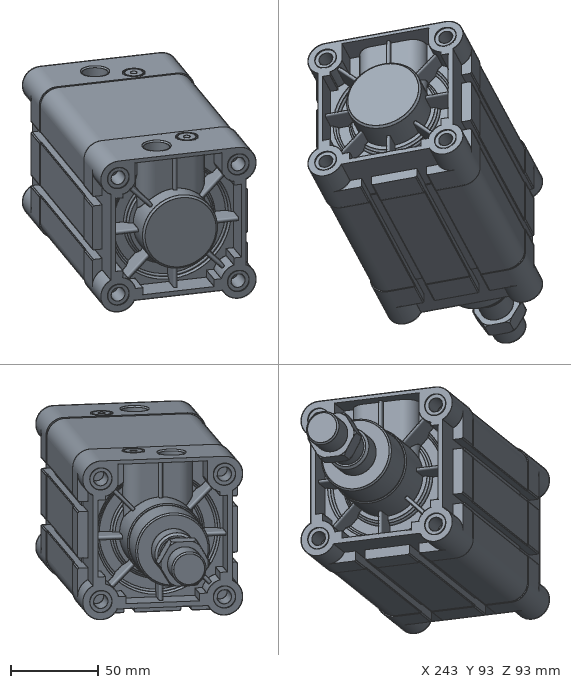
import cadquery as cq
import math

LENGTH = 243.0
HALF_WIDTH = 93.0 / 2
CUT_CLEARANCE = 2.5

THREAD_D = 20.0
ROD_D = 25.0
ROD_SHOULDER_X = 40.0
ROD_CHAMFER = 1.5
THREAD_CHAMFER = 1.0
NUT_X = 14.8
NUT_LENGTH = 10.2
NUT_CORNER_D = 30.0
NUT_CHAMFER = 1.2

NOSE_X = 53.0
BOSS_X = 74.5
FRONT_X = 85.8
CAP_LENGTH = 33.0
REAR_X = 238.9
MID_X = (FRONT_X + REAR_X) / 2
CAP_INNER_X = FRONT_X + CAP_LENGTH
REAR_CAP_INNER_X = REAR_X - CAP_LENGTH
PAD_X = 102.5

NOSE_D = 43.0
BOSS_D = 45.0
NOSE_CHAMFER = 1.0
BOSS_CHAMFER = 0.7
COLLAR_CHAMFER = 1.2

SCREW_OFFSET = 36.0
LOBE_R = HALF_WIDTH - SCREW_OFFSET
LOBE_ARC_ANGLE = math.radians(15)
RECESSED_HALF = 40.5
PAD_HALF = 13.0
PAD_GAP_OUTER = 20.2
PAD_CHAMFER = 0.7
BARREL_HALF = 46.0
BARREL_GROOVE_INNER = 13.5
BARREL_GROOVE_OUTER = 19.5
BARREL_GROOVE_FLOOR = 41.3
BARREL_CHAMFER = 0.5

SCREW_RECESS_D = 13.0
SCREW_RECESS_DEPTH = 0.7
SCREW_HOLE_D = 8.3
SCREW_HOLE_DEPTH = 14.5

POCKET_FLOOR_X = 101.0
POCKET_HALF = 37.7
POCKET_TOP = 44.2
POCKET_TOP_HALF = 26.0
CORNER_STEP = 33.3
LOWER_CORNER = 21.5
UPPER_CORNER = 23.5
RING_OUTER_R = 35.0
RING_INNER_R = 26.2
RING_DEPTH = 3.0
RING_ROUND = 1.2

BLOCK_HALF = 20.2
BLOCK_R = 8.7
RIB_THICKNESS = 2.2
RIB_X = 91.0
LONG_RIB_X = 86.8
RIB_OVERLAP = 2.5
RIB_END = 39.0
DIAGONAL_RIB_END = 42.5

PORT_X = 102.3
PORT_Y = -8.0
PORT_D = 15.0
PORT_RIM_D = 16.8
PORT_DEPTH = 17.0
CUSHION_X = 110.5
CUSHION_Y = 12.6
CUSHION_BORE_D = 13.0
CUSHION_HEAD_D = 10.7
CUSHION_GAP_DEPTH = 1.2
CUSHION_SOCKET_D = 4.0
CUSHION_SOCKET_DEPTH = 3.5


def section_plane(x):
    """Workplane across the axis at station x: local x is Y, local y is Z."""
    return cq.Workplane("YZ", origin=(x, 0, 0))


def disc(diameter, x_start, x_end):
    """Cylinder on the main axis."""
    return section_plane(x_start).circle(diameter / 2).extrude(x_end - x_start)


def block(x_range, y_range, z_range):
    """Axis-aligned box given by its limits."""
    size = [high - low for low, high in (x_range, y_range, z_range)]
    corner = (x_range[0], y_range[0], z_range[0])
    return cq.Workplane("XY").box(*size, centered=False).translate(corner)


def top_cylinder(x, y, diameter, depth):
    """Vertical cylinder going down from the top face."""
    plane = cq.Workplane("XY", origin=(x, y, HALF_WIDTH))
    return plane.circle(diameter / 2).extrude(-depth)


def make_piston_rod():
    thread = disc(THREAD_D, 0, ROD_SHOULDER_X).faces("<X").chamfer(THREAD_CHAMFER)
    shaft = disc(ROD_D, ROD_SHOULDER_X, CAP_INNER_X).faces("<X").chamfer(ROD_CHAMFER)
    nut = section_plane(NUT_X).polygon(6, NUT_CORNER_D).extrude(NUT_LENGTH)
    nut_envelope = disc(NUT_CORNER_D, NUT_X, NUT_X + NUT_LENGTH).faces("<X or >X").chamfer(NUT_CHAMFER)
    return thread.union(shaft).union(nut.intersect(nut_envelope))


def lobe_reach(offset):
    """Innermost distance of a corner lobe from one mid plane, at a given offset from the other."""
    return SCREW_OFFSET - math.sqrt(LOBE_R**2 - (SCREW_OFFSET - offset) ** 2)


def rounded_square(half, x_start, x_end):
    """Square bar with rounded lengthwise edges."""
    prism = section_plane(x_start).rect(2 * half, 2 * half).extrude(x_end - x_start)
    return prism.edges("|X").fillet(LOBE_R)


def side_groove(inner, outer, floor, x_start, x_end, mouth_chamfer, surface):
    """Lengthwise groove in the -Y side, above the mid plane, with bevelled mouth edges."""
    beyond = surface + CUT_CLEARANCE
    points = [(-floor, inner), (-floor, outer), (-surface + mouth_chamfer, outer)]
    points += [(-surface, outer + mouth_chamfer), (-beyond, outer + mouth_chamfer)]
    points += [(-beyond, inner - mouth_chamfer), (-surface, inner - mouth_chamfer)]
    points += [(-surface + mouth_chamfer, inner)]
    return section_plane(x_start).polyline(points).close().extrude(x_end - x_start)


def cut_from_sides(body, cutter):
    """Cut a shape placed at the -Y side into that side, the bottom and the +Y side."""
    for angle in (0, 90, 180):
        body = body.cut(cutter.rotate((0, 0, 0), (1, 0, 0), angle))
    return body


def make_barrel():
    barrel = rounded_square(BARREL_HALF, CAP_INNER_X, REAR_CAP_INNER_X)
    groove = side_groove(BARREL_GROOVE_INNER, BARREL_GROOVE_OUTER, BARREL_GROOVE_FLOOR,
                         CAP_INNER_X, REAR_CAP_INNER_X, BARREL_CHAMFER, BARREL_HALF)
    return cut_from_sides(barrel, groove.union(groove.mirror("XY")))


def make_side_recess():
    """Recess at the end of the -Y side, ending in the round corner lobes."""
    reach = lobe_reach(RECESSED_HALF)
    arc_depth = SCREW_OFFSET + LOBE_R * math.cos(LOBE_ARC_ANGLE)
    arc_reach = SCREW_OFFSET - LOBE_R * math.sin(LOBE_ARC_ANGLE)
    return (
        section_plane(FRONT_X)
        .moveTo(-RECESSED_HALF, -reach)
        .lineTo(-RECESSED_HALF, reach)
        .threePointArc((-arc_depth, arc_reach), (-HALF_WIDTH, SCREW_OFFSET))
        .lineTo(-HALF_WIDTH, -SCREW_OFFSET)
        .threePointArc((-arc_depth, -arc_reach), (-RECESSED_HALF, -reach))
        .close()
        .extrude(PAD_X - FRONT_X)
    )


def make_cap_outside():
    """Rounded square with grooves between the pads and recesses between the corner lobes."""
    cap = rounded_square(HALF_WIDTH, FRONT_X, CAP_INNER_X)
    groove = side_groove(PAD_HALF + PAD_CHAMFER, PAD_GAP_OUTER - PAD_CHAMFER, RECESSED_HALF,
                         PAD_X, CAP_INNER_X, PAD_CHAMFER, HALF_WIDTH)
    cap = cut_from_sides(cap, groove.union(groove.mirror("XY")))
    return cut_from_sides(cap, make_side_recess())


def make_port_block():
    """Round-cornered block carrying the port, reaching from the pocket roof to the boss."""
    front_x = PORT_X - BLOCK_R
    body = block((front_x, CAP_INNER_X), (-BLOCK_HALF, BLOCK_HALF), (0, POCKET_TOP))
    return body.edges("|Z and <X").fillet(BLOCK_R)


def make_ring_groove():
    """Ring groove in the pocket floor, rounded at its mouth and at its bottom."""
    floor_x = POCKET_FLOOR_X + RING_DEPTH
    mouth_x = POCKET_FLOOR_X + RING_ROUND
    bottom_x = floor_x - RING_ROUND
    return (
        cq.Workplane("XY")
        .moveTo(POCKET_FLOOR_X, RING_INNER_R - RING_ROUND)
        .radiusArc((mouth_x, RING_INNER_R), -RING_ROUND)
        .lineTo(bottom_x, RING_INNER_R)
        .radiusArc((floor_x, RING_INNER_R + RING_ROUND), RING_ROUND)
        .lineTo(floor_x, RING_OUTER_R - RING_ROUND)
        .radiusArc((bottom_x, RING_OUTER_R), RING_ROUND)
        .lineTo(mouth_x, RING_OUTER_R)
        .radiusArc((POCKET_FLOOR_X, RING_OUTER_R + RING_ROUND), -RING_ROUND)
        .close()
        .revolve(360, (0, 0, 0), (1, 0, 0))
    )


def make_pocket():
    """Cast pocket with stepped corners and a ring groove in its floor."""
    step_reach = lobe_reach(CORNER_STEP)
    arc_middle = SCREW_OFFSET - LOBE_R * math.sqrt(0.5)
    half_outline = (
        section_plane(FRONT_X)
        .moveTo(0, POCKET_TOP)
        .lineTo(POCKET_TOP_HALF, POCKET_TOP)
        .lineTo(POCKET_TOP_HALF, lobe_reach(POCKET_TOP_HALF))
        .threePointArc((arc_middle, arc_middle), (CORNER_STEP, step_reach))
        .lineTo(CORNER_STEP, UPPER_CORNER)
        .lineTo(POCKET_HALF, UPPER_CORNER)
        .lineTo(POCKET_HALF, -LOWER_CORNER)
        .lineTo(CORNER_STEP, -LOWER_CORNER)
        .lineTo(CORNER_STEP, -step_reach)
        .threePointArc((arc_middle, -arc_middle), (step_reach, -CORNER_STEP))
        .lineTo(LOWER_CORNER, -CORNER_STEP)
        .lineTo(LOWER_CORNER, -POCKET_HALF)
        .lineTo(0, -POCKET_HALF)
    )
    pocket = half_outline.mirrorY().extrude(POCKET_FLOOR_X - FRONT_X)
    return pocket.union(make_ring_groove())


def make_rib(front_x, end_radius, angle):
    """Radial web with a rounded front edge; angle is measured about X from +Y."""
    half = RIB_THICKNESS / 2
    start_radius = BOSS_D / 2 - RIB_OVERLAP
    back_x = POCKET_FLOOR_X + RING_DEPTH
    rib = (
        cq.Workplane("XZ", origin=(0, start_radius, 0))
        .moveTo(back_x, -half)
        .lineTo(front_x + half, -half)
        .threePointArc((front_x, 0), (front_x + half, half))
        .lineTo(back_x, half)
        .close()
        .extrude(start_radius - end_radius)
    )
    return rib.rotate((0, 0, 0), (1, 0, 0), angle)


def add_ribs(cap):
    """Eight ribs around the boss; the one towards the -Y top corner reaches further out."""
    for angle in (0, 180, 270):
        cap = cap.union(make_rib(RIB_X, RIB_END, angle))
    for angle in (45, 225, 315):
        cap = cap.union(make_rib(RIB_X, DIAGONAL_RIB_END, angle))
    cap = cap.union(make_rib(LONG_RIB_X, DIAGONAL_RIB_END, 135))
    return cap.union(make_rib(RIB_X, POCKET_TOP, 90))


def cut_corner_holes(cap):
    for diameter, depth in ((SCREW_RECESS_D, SCREW_RECESS_DEPTH), (SCREW_HOLE_D, SCREW_HOLE_DEPTH)):
        corners = section_plane(FRONT_X).rect(2 * SCREW_OFFSET, 2 * SCREW_OFFSET, forConstruction=True)
        cap = cap.cut(corners.vertices().circle(diameter / 2).extrude(depth))
    return cap


def cut_port(cap):
    port = top_cylinder(PORT_X, PORT_Y, PORT_D, PORT_DEPTH)
    rim_depth = (PORT_RIM_D - PORT_D) / 2
    rim = cq.Solid.makeCone(PORT_RIM_D / 2, PORT_D / 2, rim_depth,
                            cq.Vector(PORT_X, PORT_Y, HALF_WIDTH), cq.Vector(0, 0, -1))
    return cap.cut(port).cut(cq.Workplane(rim))


def cut_cushion_screw(cap):
    """Narrow ring gap around a flush screw head, and a conical socket in the head."""
    gap = top_cylinder(CUSHION_X, CUSHION_Y, CUSHION_BORE_D, CUSHION_GAP_DEPTH)
    gap = gap.cut(top_cylinder(CUSHION_X, CUSHION_Y, CUSHION_HEAD_D, CUSHION_GAP_DEPTH))
    socket_r = CUSHION_SOCKET_D / 2
    socket = cq.Solid.makeCone(socket_r, 0, CUSHION_SOCKET_DEPTH,
                               cq.Vector(CUSHION_X, CUSHION_Y, HALF_WIDTH), cq.Vector(0, 0, -1))
    return cap.cut(gap).cut(cq.Workplane(socket))


def make_front_cap():
    cap = make_cap_outside().cut(make_pocket().cut(make_port_block()))
    return cut_cushion_screw(cut_port(cut_corner_holes(add_ribs(cap))))


def make_housing():
    front_cap = make_front_cap()
    rear_cap = front_cap.mirror("YZ", (MID_X, 0, 0))
    nose = disc(NOSE_D, NOSE_X, BOSS_X).faces("<X").chamfer(NOSE_CHAMFER)
    boss = disc(BOSS_D, BOSS_X, CAP_INNER_X).faces("<X").chamfer(BOSS_CHAMFER)
    collar = disc(BOSS_D, REAR_CAP_INNER_X, LENGTH).faces(">X").chamfer(COLLAR_CHAMFER)
    housing = make_barrel()
    for section in (front_cap, rear_cap, nose, boss, collar):
        housing = housing.union(section)
    rod_bore = disc(ROD_D, NOSE_X, CAP_INNER_X)
    return housing.cut(rod_bore)


piston_rod = make_piston_rod()
housing = make_housing()

result = cq.Compound.makeCompound([housing.val(), piston_rod.val()])